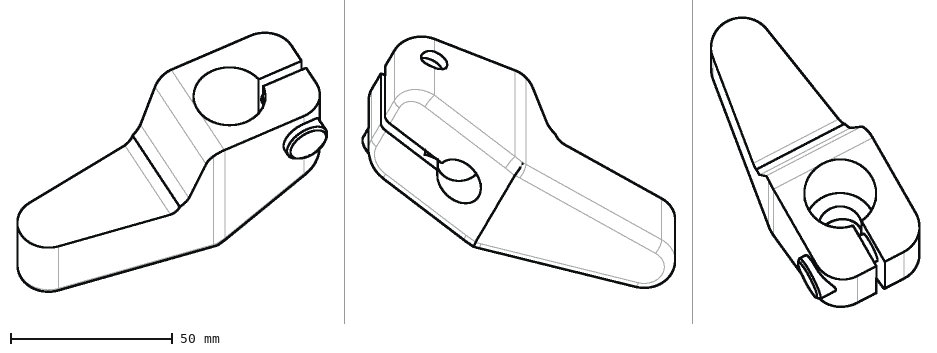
import cadquery as cq
import math


length = 99.2
height = 50.8
block_width = 35.0
back_y = 26.1
front_y = back_y - length
back_corner_radius = 9.3
nose_radius = 9.6
taper_start_y = -12.8
taper_blend_radius = 25.3
arm_height = 25.4
lower_edge_radius = 3.4

ramp_start_y = -12.4
ramp_angle = 30
shoulder_start_y = -11.1
shoulder_radius = 6.4
shoulder_angle = 70
slope_end_y = -22.7
valley_end = (-25.7, 28.1)
arm_top_start_y = -28.7
valley_radius = 8.9
arm_root_radius = 4

bore_diameter = 22.2
through_diameter = 13.5
bore_floor_z = 16.9
slot_width = 3

screw_y = 16.7
screw_z = height - 11.1
shank_diameter = 9.5
tapped_hole_diameter = 8.5
tapped_hole_depth = 3.2
head_diameter = 14.1
head_projection = 3.1
head_edge_chamfer = 0.8

half_width = block_width / 2


def plan_body(bottom_z):
    """Rounded block tapering to a round nose, from bottom_z up to full height."""
    nose_y = front_y + nose_radius
    run = taper_start_y - nose_y
    taper = math.atan2(half_width, run) - math.asin(nose_radius / math.hypot(run, half_width))
    tangent_x = nose_radius * math.cos(taper)
    tangent_y = nose_y - nose_radius * math.sin(taper)
    body = (
        cq.Workplane("XY", origin=(0, 0, bottom_z))
        .moveTo(-half_width, back_y)
        .lineTo(half_width, back_y)
        .lineTo(half_width, taper_start_y)
        .lineTo(tangent_x, tangent_y)
        .threePointArc((0, front_y), (-tangent_x, tangent_y))
        .lineTo(-half_width, taper_start_y)
        .close()
        .extrude(height - bottom_z)
    )
    body = body.edges("|Z and >Y").fillet(back_corner_radius)
    corner_margin = 1
    taper_corners = cq.selectors.BoxSelector(
        (-block_width, taper_start_y - corner_margin, bottom_z),
        (block_width, taper_start_y + corner_margin, height),
    )
    return body.edges("|Z").edges(taper_corners).fillet(taper_blend_radius)


def base_rounded_body():
    return plan_body(0).faces("<Z").edges().fillet(lower_edge_radius)


def ramp_rounded_body():
    """Plan outline cut off by the ramp plane over its whole length, with a rounded rim."""
    angle = math.radians(ramp_angle)
    back_z = (back_y - ramp_start_y) * math.tan(angle)
    front_z = (front_y - ramp_start_y) * math.tan(angle)
    below_ramp = (
        cq.Workplane("YZ")
        .polyline([(front_y, front_z), (back_y, front_z), (back_y, back_z)])
        .close()
        .extrude(half_width, both=True)
    )
    body = plan_body(front_z).cut(below_ramp)
    ramp_normal = cq.Vector(0, math.sin(angle), -math.cos(angle))
    ramp = cq.selectors.ParallelDirSelector(ramp_normal)
    return body.faces(ramp).edges().fillet(lower_edge_radius)


def upper_cutter():
    """Space above the arm, bounded by the shoulder, slope and two concave arcs."""
    angle = math.radians(shoulder_angle)
    slope_start_y = shoulder_start_y - shoulder_radius * math.sin(angle)
    slope_start_z = height - shoulder_radius * (1 - math.cos(angle))
    slope_end_z = slope_start_z - (slope_start_y - slope_end_y) * math.tan(angle)
    return (
        cq.Workplane("YZ")
        .moveTo(shoulder_start_y, height)
        .radiusArc((slope_start_y, slope_start_z), -shoulder_radius)
        .lineTo(slope_end_y, slope_end_z)
        .radiusArc(valley_end, valley_radius)
        .radiusArc((arm_top_start_y, arm_height), arm_root_radius)
        .lineTo(front_y, arm_height)
        .lineTo(front_y, height)
        .close()
        .extrude(half_width, both=True)
    )


def cut_bore_and_slot(body):
    through = cq.Workplane("XY").circle(through_diameter / 2).extrude(height)
    bore = cq.Workplane("XY", origin=(0, 0, bore_floor_z)).circle(bore_diameter / 2).extrude(height)
    slot = cq.Workplane("XY").center(0, back_y / 2).rect(slot_width, back_y).extrude(height)
    return body.cut(through).cut(bore).cut(slot)


def x_cylinder(diameter, start_x, end_x):
    """Cylinder on the screw axis."""
    plane = cq.Workplane("YZ", origin=(start_x, screw_y, screw_z))
    return plane.circle(diameter / 2).extrude(end_x - start_x)


def add_screw(body):
    tapped_hole = x_cylinder(tapped_hole_diameter, -half_width, -half_width + tapped_hole_depth)
    shank = x_cylinder(shank_diameter, -slot_width, half_width)
    head = x_cylinder(head_diameter, half_width - back_corner_radius, half_width + head_projection)
    head = head.faces(">X").chamfer(head_edge_chamfer)
    return body.cut(tapped_hole).union(shank).union(head)


body = base_rounded_body().intersect(ramp_rounded_body())
body = body.cut(upper_cutter())
body = cut_bore_and_slot(body)
result = add_screw(body)